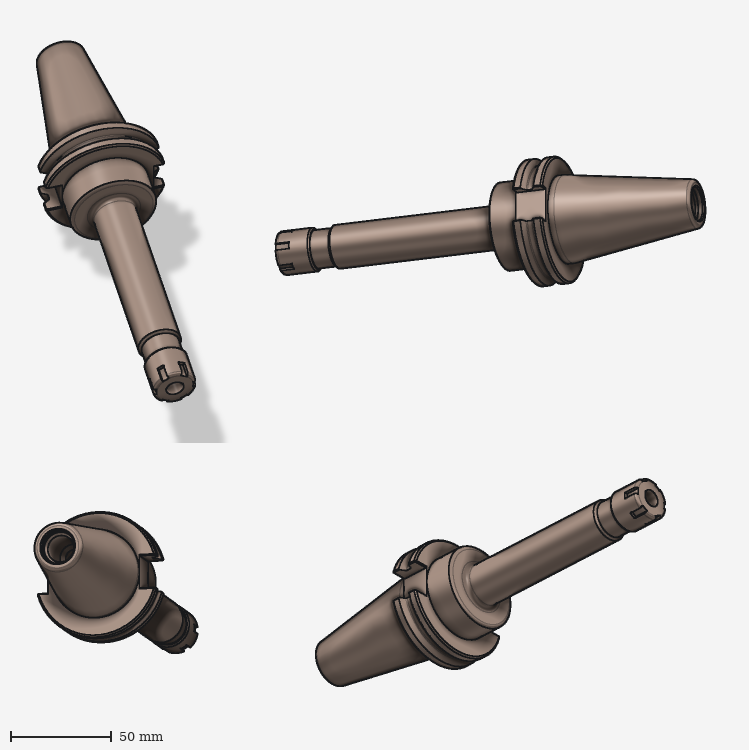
import cadquery as cq
import math

GAUGE_X = 68.2
FLANGE_START_X = 71.3
FLANGE_WIDTH = 15.9
HUB_END_X = 103.0
SHANK_END_X = 192.6
NUT_START_X = 202.3
OVERALL_LENGTH = 220.7

GAUGE_DIA = 44.4
TAPER_RATE = 7 / 24
TAPER_EDGE_RADIUS = 1.8
STUD_MOUTH_DIA = 18.0
STUD_COUNTERBORE_DIA = 16.8
STUD_BORE_DIA = 16.3
STUD_PILOT_DIA = 13.5
STUD_COUNTERBORE_DEPTH = 2.9
STUD_BORE_DEPTH = 4.5
STUD_PILOT_DEPTH = 28.7
THROUGH_DIA = 9.0

FLANGE_DIA = 63.5
FLANGE_CHAMFER = 0.9
GROOVE_DIA = 56.7
GROOVE_FLOOR_WIDTH = 3.0
GROOVE_CENTRE_X = 79.2
GROOVE_CORNER_RADIUS = 0.7
GROOVE_WALL_ANGLE = 60.0
KEYWAY_WIDTH = 16.3
KEYWAY_CHAMFER = 0.55
KEYWAY_FLOOR_NEAR = 22.3
KEYWAY_FLOOR_FAR = 25.0

HUB_DIA = 44.4
HUB_CHAMFER = 0.9
SHANK_DIA = 22.0
SHANK_FILLET = 2.6
NECK_DIA = 19.5
NOSE_DEPTH = 8.8

NUT_DIA = 22.0
NUT_BACK_CHAMFER = 0.9
NUT_FRONT_RADIUS = 1.5
SLOT_COUNT = 6
SLOT_WIDTH = 3.5
SLOT_LENGTH = 7.7
SLOT_FLOOR_RADIUS = 9.3

FLANGE_END_X = FLANGE_START_X + FLANGE_WIDTH
NOSE_END_X = NUT_START_X + NOSE_DEPTH
SHANK_CHAMFER = (SHANK_DIA - NECK_DIA) / 2
SELECTION_MARGIN = 0.2


def cylinder(diameter, start_x, end_x):
    """Solid cylinder on the X axis."""
    return cq.Workplane("YZ", origin=(start_x, 0, 0)).circle(diameter / 2).extrude(end_x - start_x)


def revolved(profile):
    """Turn a closed (x, radius) outline around the X axis."""
    return cq.Workplane("XY").polyline(profile).close().revolve(360, (0, 0, 0), (1, 0, 0))


def make_taper():
    small_radius = (GAUGE_DIA - TAPER_RATE * GAUGE_X) / 2
    taper = revolved([(0, 0), (0, small_radius), (GAUGE_X, GAUGE_DIA / 2), (GAUGE_X, 0)])
    return taper.faces("<X").edges().fillet(TAPER_EDGE_RADIUS)


def make_groove():
    """Ring with sloping walls and rounded floor corners, to be cut from the flange."""
    depth = (FLANGE_DIA - GROOVE_DIA) / 2
    floor_half = GROOVE_FLOOR_WIDTH / 2
    mouth_half = floor_half + depth / math.tan(math.radians(GROOVE_WALL_ANGLE))
    groove = revolved([
        (GROOVE_CENTRE_X - floor_half, GROOVE_DIA / 2),
        (GROOVE_CENTRE_X + floor_half, GROOVE_DIA / 2),
        (GROOVE_CENTRE_X + mouth_half, FLANGE_DIA / 2),
        (GROOVE_CENTRE_X - mouth_half, FLANGE_DIA / 2),
    ])
    floor_corners = cq.selectors.RadiusNthSelector(0)
    return groove.edges(floor_corners).fillet(GROOVE_CORNER_RADIUS)


def make_flange():
    flange = cylinder(FLANGE_DIA, FLANGE_START_X, FLANGE_END_X).edges("%CIRCLE").chamfer(FLANGE_CHAMFER)
    for side, floor in ((-1, KEYWAY_FLOOR_NEAR), (1, KEYWAY_FLOOR_FAR)):
        keyway = cq.Workplane("XY").box(FLANGE_WIDTH, FLANGE_DIA, KEYWAY_WIDTH)
        centre = (FLANGE_START_X + FLANGE_WIDTH / 2, side * (floor + FLANGE_DIA / 2), 0)
        flange = flange.cut(keyway.translate(centre))
        wall_z = KEYWAY_WIDTH / 2 + SELECTION_MARGIN
        beyond_floor = cq.selectors.BoxSelector(
            (FLANGE_START_X - SELECTION_MARGIN, side * (floor + SELECTION_MARGIN), -wall_z),
            (FLANGE_END_X + SELECTION_MARGIN, side * FLANGE_DIA, wall_z),
        )
        flange = flange.edges(beyond_floor).chamfer(KEYWAY_CHAMFER)
    return flange.cut(make_groove())


def make_shank():
    """Hub, shank with a filleted root, and the neck that carries the nut."""
    hub = cylinder(HUB_DIA, GAUGE_X, HUB_END_X).faces(">X").edges().chamfer(HUB_CHAMFER)
    shank = cylinder(SHANK_DIA, HUB_END_X, SHANK_END_X).faces(">X").edges().chamfer(SHANK_CHAMFER)
    root_circle = cq.selectors.BoxSelector(
        (HUB_END_X - SELECTION_MARGIN, -SHANK_DIA, -SHANK_DIA),
        (HUB_END_X + SELECTION_MARGIN, SHANK_DIA, SHANK_DIA),
        boundingbox=True,
    )
    stepped = hub.union(shank).edges(root_circle).edges("%CIRCLE").fillet(SHANK_FILLET)
    return stepped.union(cylinder(NECK_DIA, SHANK_END_X, NOSE_END_X))


def make_stud_bore():
    """Pull-stud bore: conical mouth, counterbore, bore, pilot and the hole along the whole holder.

    All its cones slope at 45 degrees.
    """
    mouth_depth = (STUD_MOUTH_DIA - STUD_COUNTERBORE_DIA) / 2
    shoulder_length = (STUD_BORE_DIA - STUD_PILOT_DIA) / 2
    pilot_cone_length = (STUD_PILOT_DIA - THROUGH_DIA) / 2
    return revolved([
        (0, 0),
        (0, STUD_MOUTH_DIA / 2),
        (mouth_depth, STUD_COUNTERBORE_DIA / 2),
        (STUD_COUNTERBORE_DEPTH, STUD_COUNTERBORE_DIA / 2),
        (STUD_COUNTERBORE_DEPTH, STUD_BORE_DIA / 2),
        (STUD_BORE_DEPTH, STUD_BORE_DIA / 2),
        (STUD_BORE_DEPTH + shoulder_length, STUD_PILOT_DIA / 2),
        (STUD_PILOT_DEPTH, STUD_PILOT_DIA / 2),
        (STUD_PILOT_DEPTH + pilot_cone_length, THROUGH_DIA / 2),
        (NOSE_END_X, THROUGH_DIA / 2),
        (NOSE_END_X, 0),
    ])


def make_holder():
    return make_taper().union(make_shank()).union(make_flange()).cut(make_stud_bore())


def make_nut():
    nut = cylinder(NUT_DIA, NUT_START_X, OVERALL_LENGTH)
    nut = nut.faces("<X").edges().chamfer(NUT_BACK_CHAMFER)
    nut = nut.faces(">X").edges().fillet(NUT_FRONT_RADIUS)
    nut = nut.cut(cylinder(NECK_DIA, NUT_START_X, NOSE_END_X))
    nut = nut.cut(cylinder(THROUGH_DIA, NOSE_END_X, OVERALL_LENGTH))
    slot = cq.Workplane("XY").box(SLOT_LENGTH, NUT_DIA, SLOT_WIDTH)
    slot = slot.translate((OVERALL_LENGTH - SLOT_LENGTH / 2, -SLOT_FLOOR_RADIUS - NUT_DIA / 2, 0))
    for index in range(SLOT_COUNT):
        nut = nut.cut(slot.rotate((0, 0, 0), (1, 0, 0), index * 360 / SLOT_COUNT))
    return nut


holder = make_holder()
nut = make_nut()
result = cq.Compound.makeCompound([holder.val(), nut.val()])